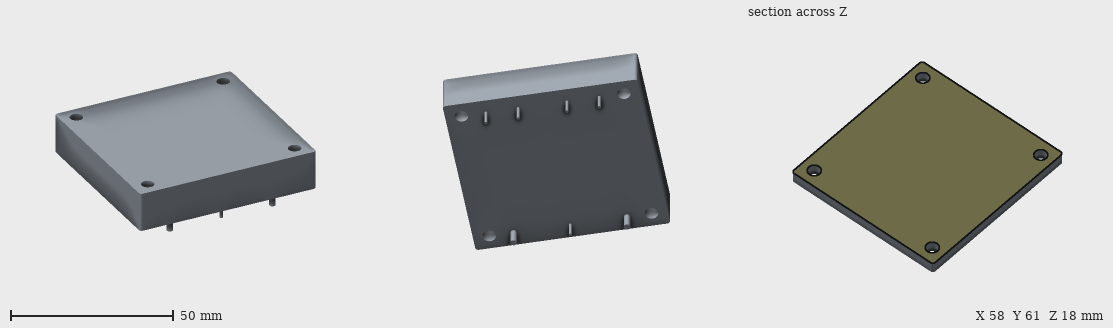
import cadquery as cq

body_x = 58.0
body_y = 61.0
total_height = 18.0
pin_length = 5.0
body_height = total_height - pin_length
corner_radius = 1.0

hole_diameter = 4.2
hole_spacing_x = 48.3
hole_spacing_y = 50.8

thin_pin_diameter = 1.0
thick_pin_diameter = 2.0
pin_row_x = hole_spacing_x / 2
inner_pin_y = 7.6
outer_pin_y = 17.75


def make_body():
    """Block with rounded vertical edges and four through holes."""
    block = cq.Workplane("XY").box(body_x, body_y, body_height, centered=(True, True, False))
    return (
        block.edges("|Z").fillet(corner_radius)
        .faces(">Z").workplane()
        .rarray(hole_spacing_x, hole_spacing_y, 2, 2)
        .hole(hole_diameter)
    )


def make_pins(positions, diameter):
    """Round pins hanging below the body."""
    return cq.Workplane("XY").pushPoints(positions).circle(diameter / 2).extrude(-pin_length)


thin_positions = [(-pin_row_x, y) for y in (-outer_pin_y, -inner_pin_y, inner_pin_y, outer_pin_y)]
thin_positions.append((pin_row_x, 0))
thick_positions = [(pin_row_x, y) for y in (-outer_pin_y, outer_pin_y)]

result = (
    make_body()
    .union(make_pins(thin_positions, thin_pin_diameter))
    .union(make_pins(thick_positions, thick_pin_diameter))
)